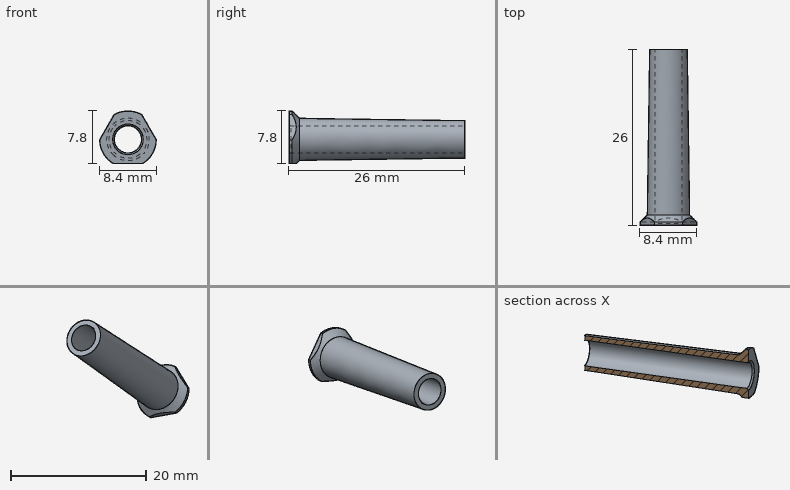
import cadquery as cq

length = 26.0

tip_diameter = 5.6
root_diameter = 6.3

flange_diameter = 8.4
rim_thickness = 0.47
cone_length = 1.07
flange_height = 7.8
flat_distance = flange_height - flange_diameter / 2
flat_count = 3

bore_diameter = 4.0
mouth_chamfer = 0.25


def make_body():
    """Revolve the flange and tapered tube about the Y axis."""
    rim_radius = flange_diameter / 2
    return (
        cq.Workplane("XY")
        .moveTo(0, 0)
        .lineTo(rim_radius, 0)
        .lineTo(rim_radius, rim_thickness)
        .lineTo(root_diameter / 2, rim_thickness + cone_length)
        .lineTo(tip_diameter / 2, length)
        .lineTo(0, length)
        .close()
        .revolve(360, (0, 0, 0), (0, 1, 0))
    )


def make_bore():
    """Revolve the straight bore and its 45 degree mouth about the Y axis."""
    bore_radius = bore_diameter / 2
    return (
        cq.Workplane("XY")
        .moveTo(0, 0)
        .lineTo(bore_radius + mouth_chamfer, 0)
        .lineTo(bore_radius, mouth_chamfer)
        .lineTo(bore_radius, length)
        .lineTo(0, length)
        .close()
        .revolve(360, (0, 0, 0), (0, 1, 0))
    )


def make_flat_cutter(angle):
    """Block removing the rim below one flat, turned about the Y axis."""
    return (
        cq.Workplane("XY")
        .box(flange_diameter, length, flange_diameter, centered=(True, False, False))
        .translate((0, 0, -flat_distance - flange_diameter))
        .rotate((0, 0, 0), (0, 1, 0), angle)
    )


result = make_body().cut(make_bore())
for index in range(flat_count):
    result = result.cut(make_flat_cutter(index * 360 / flat_count))